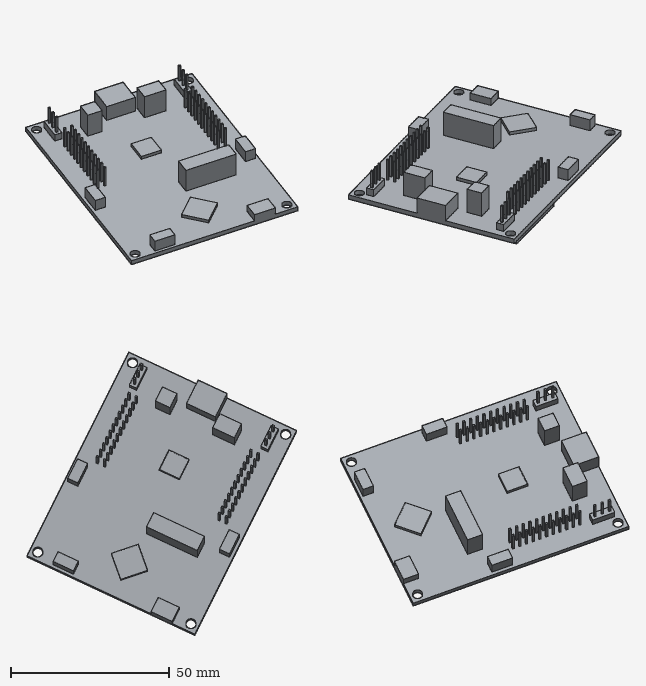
import cadquery as cq


BOARD_LENGTH = 74.0
BOARD_WIDTH = 59.0
BOARD_THICKNESS = 1.6
HOLE_DIAMETER = 3.2
HOLE_INSET = 2.6

PIN_SIDE = 0.64
PIN_PITCH = 2.5
SMALL_HEADER_PINS = 3
SMALL_HEADER_LENGTH = SMALL_HEADER_PINS * PIN_PITCH
SMALL_HEADER_HEIGHT = 2.5
SMALL_HEADER_PIN_TOP = 8.5
SMALL_HEADER_X = 6.45
SMALL_HEADER_Y = 23.1

DOUBLE_ROW_COLUMNS = 11
DOUBLE_ROW_COLUMN_PITCH = 2.3
DOUBLE_ROW_PIN_TOP = 7.4
DOUBLE_ROW_X = 25.4
DOUBLE_ROW_Y = 21.4

SOCKET_LENGTH = 25.75
SOCKET_WIDTH = 2 * PIN_PITCH
SOCKET_HEIGHT = 8.5

JACK_LENGTH = 8.5
JACK_WIDTH = 10.15
JACK_HEIGHT = 5.6

TALL_BLOCK_HEIGHT = 8.6
TALL_BLOCK_SIDE = 5.1
LONG_TALL_BLOCK_WIDTH = 7.6
TALL_BLOCK_X = 10.2
LONG_TALL_BLOCK_Y = 10.0
SQUARE_TALL_BLOCK_Y = -11.4

BAR_LENGTH = 5.2
BAR_WIDTH = 17.8
BAR_HEIGHT = 8.5
BAR_X = 48.5
BAR_Y = 10.35

CHIP_HEIGHT = 1.1
SQUARE_CHIP_SIDE = 7.1
SQUARE_CHIP_X = 27.1
SQUARE_CHIP_Y = -0.45
DIAMOND_CHIP_SIDE = 9.0
DIAMOND_CHIP_X = 61.95
DIAMOND_CHIP_Y = 0.75
DIAMOND_CHIP_ANGLE = 45

EDGE_PLUG_LENGTH = 7.1
EDGE_PLUG_DEPTH = 3.55
EDGE_PLUG_HEIGHT = 4.0
SIDE_PLUG_X = 43.0
SIDE_PLUG_Y = 26.65
END_PLUG_X = 71.25
END_PLUG_Y = -17.2

LOW_SOCKET_LENGTH = 5.2
LOW_SOCKET_WIDTH = 7.4
LOW_SOCKET_HEIGHT = 2.5
LOW_SOCKET_Y = 17.8


def block(length, width, height, x, y):
    """Box centred at (x, y) that stands on the board's top face."""
    return cq.Workplane("XY").box(length, width, height, centered=(True, True, False)).translate((x, y, 0))


def pin_grid(columns, rows, column_pitch, height, x, y):
    """Grid of square pins centred at (x, y)."""
    return (
        cq.Workplane("XY")
        .center(x, y)
        .rarray(column_pitch, PIN_PITCH, columns, rows)
        .rect(PIN_SIDE, PIN_SIDE)
        .extrude(height)
    )


def board():
    """Plate with a mounting hole in each corner."""
    return (
        cq.Workplane("XY")
        .center(BOARD_LENGTH / 2, 0)
        .rect(BOARD_LENGTH, BOARD_WIDTH)
        .rarray(BOARD_LENGTH - 2 * HOLE_INSET, BOARD_WIDTH - 2 * HOLE_INSET, 2, 2)
        .circle(HOLE_DIAMETER / 2)
        .extrude(-BOARD_THICKNESS)
    )


def components():
    """Single blocks on the top face."""
    diamond_chip = (
        block(DIAMOND_CHIP_SIDE, DIAMOND_CHIP_SIDE, CHIP_HEIGHT, 0, 0)
        .rotate((0, 0, 0), (0, 0, 1), DIAMOND_CHIP_ANGLE)
        .translate((DIAMOND_CHIP_X, DIAMOND_CHIP_Y, 0))
    )
    low_socket_x = BOARD_LENGTH - LOW_SOCKET_LENGTH / 2
    return [
        block(JACK_LENGTH, JACK_WIDTH, JACK_HEIGHT, JACK_LENGTH / 2, 0),
        block(TALL_BLOCK_SIDE, LONG_TALL_BLOCK_WIDTH, TALL_BLOCK_HEIGHT, TALL_BLOCK_X, LONG_TALL_BLOCK_Y),
        block(TALL_BLOCK_SIDE, TALL_BLOCK_SIDE, TALL_BLOCK_HEIGHT, TALL_BLOCK_X, SQUARE_TALL_BLOCK_Y),
        block(BAR_LENGTH, BAR_WIDTH, BAR_HEIGHT, BAR_X, BAR_Y),
        block(SQUARE_CHIP_SIDE, SQUARE_CHIP_SIDE, CHIP_HEIGHT, SQUARE_CHIP_X, SQUARE_CHIP_Y),
        diamond_chip,
        block(EDGE_PLUG_DEPTH, EDGE_PLUG_LENGTH, EDGE_PLUG_HEIGHT, END_PLUG_X, END_PLUG_Y),
        block(LOW_SOCKET_LENGTH, LOW_SOCKET_WIDTH, LOW_SOCKET_HEIGHT, low_socket_x, LOW_SOCKET_Y),
    ]


def side_parts(side):
    """Headers, plug and underside socket along one long edge; side is +1 or -1 in Y."""
    small_y = side * SMALL_HEADER_Y
    double_y = side * DOUBLE_ROW_Y
    socket = block(SOCKET_LENGTH, SOCKET_WIDTH, SOCKET_HEIGHT, DOUBLE_ROW_X, double_y)
    return [
        block(SMALL_HEADER_LENGTH, PIN_PITCH, SMALL_HEADER_HEIGHT, SMALL_HEADER_X, small_y),
        pin_grid(SMALL_HEADER_PINS, 1, PIN_PITCH, SMALL_HEADER_PIN_TOP, SMALL_HEADER_X, small_y),
        pin_grid(DOUBLE_ROW_COLUMNS, 2, DOUBLE_ROW_COLUMN_PITCH, DOUBLE_ROW_PIN_TOP, DOUBLE_ROW_X, double_y),
        block(EDGE_PLUG_LENGTH, EDGE_PLUG_DEPTH, EDGE_PLUG_HEIGHT, SIDE_PLUG_X, side * SIDE_PLUG_Y),
        socket.translate((0, 0, -BOARD_THICKNESS - SOCKET_HEIGHT)),
    ]


result = board()
for part in components() + side_parts(1) + side_parts(-1):
    result = result.union(part)